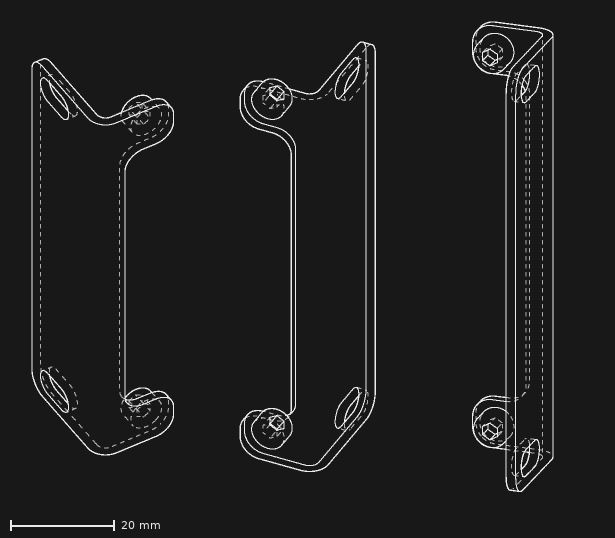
import cadquery as cq
import math

width = 25.0
depth = 17.0
height = 88.0
thickness = 2.0
inner_bend_radius = 2.0
outer_bend_radius = inner_bend_radius + thickness
corner_radius = 4.0

tab_height = 10.0
strip_depth = 6.0

slot_width = 5.5
slot_travel = 5.0
slot_length = slot_width + slot_travel
slot_center_x = 8.5

head_diameter = 7.0
head_height = 4.0
head_edge_radius = 0.5
hex_sides = 6
hex_across_flats = 3.0
hex_depth = 3.0
screw_y = 12.0

feature_levels = (tab_height / 2, height - tab_height / 2)


def bent_sheet():
    """L-shaped sheet standing along Z with a rounded bend."""
    outer = cq.Workplane("XY").box(width, depth, height, centered=False)
    outer = outer.edges("|Z and >X and <Y").fillet(outer_bend_radius)
    inner = cq.Workplane("XY").box(width - thickness, depth - thickness, height, centered=False)
    inner = inner.edges("|Z and >X and <Y").fillet(inner_bend_radius)
    return outer.cut(inner.translate((0, thickness, 0)))


def round_plate_corners(sheet):
    """Round the two free corners of the front plate."""
    return sheet.edges("|Y and <X").fillet(corner_radius)


def flange_notch():
    """Cutter that separates the two flange tabs and rounds their roots."""
    notch = cq.Workplane("XY").box(
        thickness, depth - strip_depth, height - 2 * tab_height, centered=False
    )
    notch = notch.edges("|X and <Y").fillet(corner_radius)
    return notch.translate((width - thickness, strip_depth, tab_height))


def round_tab_corners(sheet):
    """Round all four free corners of the flange tabs."""
    return sheet.edges("|X and >Y").fillet(corner_radius)


def mounting_slot(level):
    """Cutter for one horizontal slot through the front plate."""
    return (
        cq.Workplane("XZ", origin=(slot_center_x, 0, level))
        .slot2D(slot_length, slot_width)
        .extrude(-thickness)
    )


def screw_head(level):
    """Cylindrical head with a rounded rim and a hex socket, facing -X."""
    hex_circumdiameter = hex_across_flats / math.cos(math.pi / hex_sides)
    head = (
        cq.Workplane("YZ", origin=(width - thickness, screw_y, level))
        .circle(head_diameter / 2)
        .extrude(-head_height)
        .faces("<X")
        .edges()
        .fillet(head_edge_radius)
    )
    socket = (
        cq.Workplane("YZ", origin=(width - thickness - head_height, screw_y, level))
        .transformed(rotate=(0, 0, 90))
        .polygon(hex_sides, hex_circumdiameter)
        .extrude(hex_depth)
    )
    return head.cut(socket)


result = round_plate_corners(bent_sheet())
result = round_tab_corners(result.cut(flange_notch()))
for level in feature_levels:
    result = result.cut(mounting_slot(level))
    result = result.union(screw_head(level))